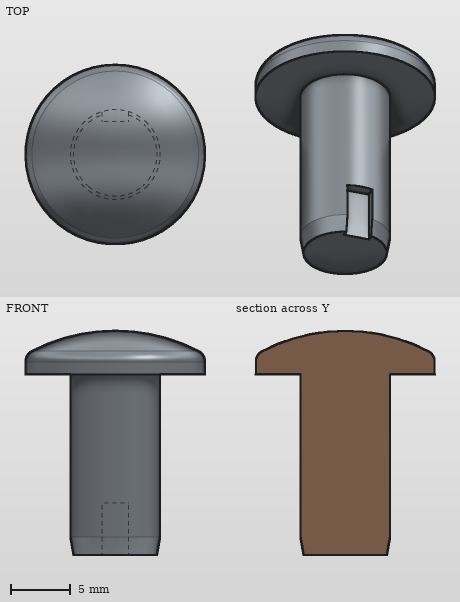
import cadquery as cq
import math

overall_length = 18.74
shank_length = 15.1
head_height = overall_length - shank_length

head_radius = 7.5
rim_fillet = 1.0
dome_radius = 15.0

shank_radius = 3.75
taper_length = 1.5
taper_angle = math.radians(10.0)
tip_radius = shank_radius - taper_length * math.tan(taper_angle)

notch_width = 2.2
notch_height = 4.35
notch_depth = 1.0

dome_center_z = head_height - dome_radius
fillet_center_y = head_radius - rim_fillet
center_distance = dome_radius - rim_fillet
dome_angle = math.asin(fillet_center_y / center_distance)
rim_height = dome_center_z + center_distance * math.cos(dome_angle)


def arc_point(center, radius, angle):
    """Point of a profile arc around center (y, z), with the angle measured from +Z."""
    return (
        center[0] + radius * math.sin(angle),
        center[1] + radius * math.cos(angle),
    )


def revolve_about_z(profile):
    """Full revolution of a closed YZ profile about the Z axis."""
    return profile.revolve(360, (0, 0, 0), (0, 1, 0))


def make_head():
    """Disc with a vertical rim, a rounded shoulder and a spherical dome."""
    dome_center = (0, dome_center_z)
    fillet_center = (fillet_center_y, rim_height)
    fillet_mid_angle = (math.pi / 2 + dome_angle) / 2

    profile = (
        cq.Workplane("YZ")
        .lineTo(head_radius, 0)
        .lineTo(head_radius, rim_height)
        .threePointArc(
            arc_point(fillet_center, rim_fillet, fillet_mid_angle),
            arc_point(dome_center, dome_radius, dome_angle),
        )
        .threePointArc(
            arc_point(dome_center, dome_radius, dome_angle / 2),
            (0, head_height),
        )
        .close()
    )
    return revolve_about_z(profile)


def make_shank():
    """Round shank ending in a tapered lead-in tip."""
    profile = (
        cq.Workplane("YZ")
        .lineTo(shank_radius, 0)
        .lineTo(shank_radius, taper_length - shank_length)
        .lineTo(tip_radius, -shank_length)
        .lineTo(0, -shank_length)
        .close()
    )
    return revolve_about_z(profile)


def make_notch():
    """Block to remove from the +Y side of the shank, running up from the tip."""
    return (
        cq.Workplane("XY")
        .box(notch_width, notch_depth, notch_height, centered=(True, False, False))
        .translate((0, shank_radius - notch_depth, -shank_length))
    )


shank = make_shank().cut(make_notch())
result = make_head().union(shank)